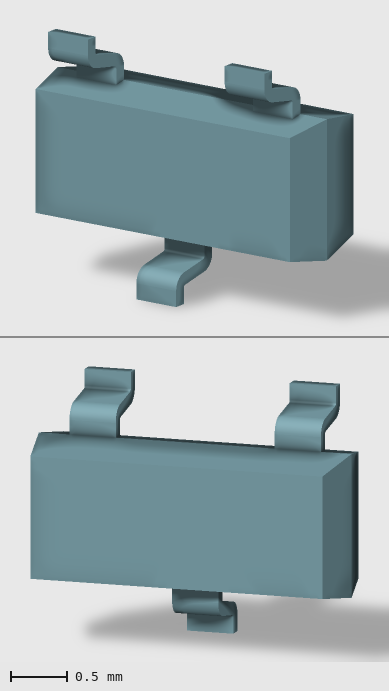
import cadquery as cq
import math

BODY_WIDTH = 2.9
BODY_HEIGHT = 1.3
FRONT_DEPTH = 0.455
BACK_DEPTH = 0.545
DRAFT_ANGLE = 10.0

LEAD_WIDTH = 0.43
LEAD_THICKNESS = 0.12
LEAD_PITCH = 1.902
LEAD_TIP_SPAN = 2.3
STANDOFF = 0.1
FOOT_FLAT = 0.148
INNER_BEND_RADIUS = 0.025
OUTER_BEND_RADIUS = INNER_BEND_RADIUS + LEAD_THICKNESS
WEB_ANGLE = 10.0


def make_half(depth):
    """Half of the body, tapering from the parting plane; negative depth runs toward +Y."""
    inset = abs(depth) * math.tan(math.radians(DRAFT_ANGLE))
    return (
        cq.Workplane("XZ")
        .rect(BODY_WIDTH, BODY_HEIGHT)
        .workplane(offset=depth)
        .rect(BODY_WIDTH - 2 * inset, BODY_HEIGHT - 2 * inset)
        .loft(ruled=True)
    )


def make_body():
    return make_half(FRONT_DEPTH).union(make_half(-BACK_DEPTH))


def make_lead(x_center):
    """Upper lead, from the sloping body face through two opposite bends to its foot."""
    half_turn = math.radians(90 - WEB_ANGLE) / 2
    miter = LEAD_THICKNESS * math.tan(half_turn)

    shank_front = -LEAD_THICKNESS
    foot_front = -(FRONT_DEPTH + STANDOFF)
    foot_back = foot_front + LEAD_THICKNESS

    tip = LEAD_TIP_SPAN / 2
    foot_outer = tip - FOOT_FLAT - OUTER_BEND_RADIUS * math.tan(half_turn)
    foot_inner = foot_outer + miter
    web_rise = (shank_front - foot_front) * math.tan(math.radians(WEB_ANGLE))
    shank_inner = foot_outer - web_rise
    shank_outer = shank_inner + miter

    root_back = BODY_HEIGHT / 2
    root_front = root_back - LEAD_THICKNESS * math.tan(math.radians(DRAFT_ANGLE))

    lead = (
        cq.Workplane("YZ", origin=(x_center - LEAD_WIDTH / 2, 0, 0))
        .moveTo(0, root_back)
        .lineTo(0, shank_outer)
        .lineTo(foot_back, foot_inner)
        .lineTo(foot_back, tip)
        .lineTo(foot_front, tip)
        .lineTo(foot_front, foot_outer)
        .lineTo(shank_front, shank_inner)
        .lineTo(shank_front, root_front)
        .close()
        .extrude(LEAD_WIDTH)
    )

    def bend_edge(y, z):
        return cq.NearestToPointSelector((x_center, y, z))

    for y, z in ((0, shank_outer), (foot_front, foot_outer)):
        lead = lead.edges("|X").edges(bend_edge(y, z)).fillet(OUTER_BEND_RADIUS)
    for y, z in ((shank_front, shank_inner), (foot_back, foot_inner)):
        lead = lead.edges("|X").edges(bend_edge(y, z)).fillet(INNER_BEND_RADIUS)
    return lead


body = make_body()
upper_leads = [make_lead(side * LEAD_PITCH / 2) for side in (-1, 1)]
lower_lead = make_lead(0).rotate((0, 0, 0), (0, 1, 0), 180)
leads = upper_leads + [lower_lead]

result = cq.Compound.makeCompound([body.val(), *[lead.val() for lead in leads]])